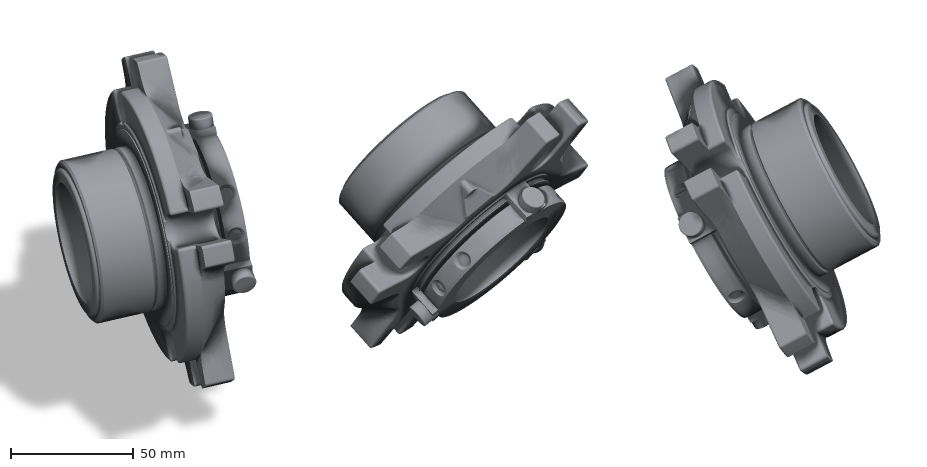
import cadquery as cq
import math


overall_length = 65.4

bore_radius = 25.4
sleeve_radius = 34.3
sleeve_chamfer = 1.0
nose_radius = 31.3
nose_length = 1.5
nose_round = 1.4
groove_start = 24.0
groove_width = 1.8
groove_depth = 0.89
neck_radius = 27.0

ring_face_y = 29.4
ring_radius = 41.3
step_face_y = 29.8
step_radius = 44.2
step_chamfer = 0.6
disc_face_y = 30.5
disc_radius = 57.7
disc_round = 1.1
slot_corner_round = 1.2
ear_face_y = 38.3
gland_back_y = 51.1
back_cone_angle = 45
gland_edge_round = 0.8

ear_count = 4
ear_angles = [45 + index * 360 / ear_count for index in range(ear_count)]
ear_tip_radius = 69.7
ear_tip_half_width = 16.1
ear_taper = 7.5
ear_root_fillet = 6.9
ear_corner_round = 1.2
ear_root_reach = 35.5
slot_half_width = 7.0
slot_bottom_radius = 42.8

shoulder_radius = 37.0
shoulder_end_y = 51.8
waist_radius = 35.0
waist_end_y = 53.1
lip_radius = 35.7
lip_taper_end_y = 53.7
lip_end_y = 53.9

collar_radius = 35.0
collar_start_y = 55.7
collar_end_y = 64.9
collar_chamfer_length = 1.3
collar_chamfer_depth = 0.2

clip_angles = (0, 120, 240)
clip_inner_radius = 34.6
clip_outer_radius = 37.6
clip_width = 11.9
cap_radius = 10.0 / 2
screw_y = overall_length - cap_radius
cap_end_radius = 42.2
cap_round = 0.5

socket_angles = (60, 180, 300)
slotted_angles = (30, 210)
set_screw_radius = 2.5
set_screw_depth = 1.5
countersink_radius = 3.8
driver_slot_width = 0.8
driver_slot_depth = 0.6

plug_diameter = 11.2
plug_y = 45.3
plug_height = 0.1
plug_embed = 3.5

ridge_top_z = 56.3
ridge_radius = 3.4 / 2
ridge_flank_angle = 32
ridge_step_y = 45.6
ridge_step_height = 4.4
ridge_base_z = 37.8
ridge_base_fillet = 0.6
on_surface_tolerance = 0.01


def around(solid, angle):
    """Turn a solid built on the +X side to the given angle about Y, +Z being 90 degrees."""
    return solid.rotate((0, 0, 0), (0, 1, 0), -angle)


def disc(radius, start_y, end_y):
    """A plain cylinder on the Y axis."""
    return cq.Workplane("XZ", origin=(0, start_y, 0)).circle(radius).extrude(start_y - end_y)


def revolve_profile(points):
    """Revolve (radius, y) points about the Y axis."""
    return cq.Workplane("XY").polyline(points).close().revolve(360, (0, 0, 0), (0, 1, 0))


def make_sleeve():
    groove_end = groove_start + groove_width
    flank = groove_width / 3
    body = revolve_profile([
        (0, nose_length),
        (sleeve_radius - sleeve_chamfer, nose_length),
        (sleeve_radius, nose_length + sleeve_chamfer),
        (sleeve_radius, groove_start),
        (sleeve_radius - groove_depth, groove_start + flank),
        (sleeve_radius - groove_depth, groove_end - flank),
        (sleeve_radius, groove_end),
        (sleeve_radius, disc_face_y),
        (neck_radius, disc_face_y),
        (neck_radius, collar_end_y),
        (0, collar_end_y),
    ])
    nose = disc(nose_radius, 0, nose_length).faces("<Y").edges().fillet(nose_round)
    return body.union(nose)


def make_ear():
    """Blank for one pair of ears, pointing along +X and still without its slot."""
    tip_x = math.sqrt(ear_tip_radius**2 - ear_tip_half_width**2)
    root_half_width = ear_tip_half_width + (tip_x - ear_root_reach) * math.tan(math.radians(ear_taper))
    return (
        cq.Workplane("XZ", origin=(0, ear_face_y, 0))
        .moveTo(ear_root_reach, -root_half_width)
        .lineTo(tip_x, -ear_tip_half_width)
        .threePointArc((ear_tip_radius, 0), (tip_x, ear_tip_half_width))
        .lineTo(ear_root_reach, root_half_width)
        .close()
        .extrude(ear_face_y - gland_back_y)
    )


def make_slot():
    """Bolt slot through the gland along +X, round at its bottom."""
    center_x = slot_bottom_radius + slot_half_width
    length = ear_tip_radius + slot_half_width - center_x
    slot = disc(slot_half_width, 0, collar_start_y).translate((center_x, 0, 0))
    channel = cq.Workplane("XY").box(
        length, collar_start_y, 2 * slot_half_width, centered=(False, False, True)
    )
    return slot.union(channel.translate((center_x, 0, 0)))


def cut_slots(solid):
    for angle in ear_angles:
        solid = solid.cut(around(make_slot(), angle))
    return solid


def distance_from_axis(edge):
    middle = edge.Center()
    return math.hypot(middle.x, middle.z)


def round_outer_corners(solid, outer_radius, corner_round):
    """Round the edges parallel to Y where slots or ears meet the given outer radius."""
    limit = outer_radius - 2 * corner_round
    corners = solid.edges("|Y").filter(lambda edge: distance_from_axis(edge) > limit)
    return corners.fillet(corner_round)


def back_cone_radius_at(y):
    return disc_radius - (y - ear_face_y) * math.tan(math.radians(back_cone_angle))


def make_ridge():
    """Round-topped ridge along Y with flared flanks, stepping down and then sloping to the back."""
    flank = math.radians(ridge_flank_angle)
    tangent_x = ridge_radius * math.cos(flank)
    tangent_z = ridge_top_z - ridge_radius * (1 - math.sin(flank))
    base_x = tangent_x + (tangent_z - ridge_base_z) * math.tan(flank)
    bar = (
        cq.Workplane("XZ", origin=(0, ear_face_y, 0))
        .moveTo(-base_x, ridge_base_z)
        .lineTo(-tangent_x, tangent_z)
        .threePointArc((0, ridge_top_z), (tangent_x, tangent_z))
        .lineTo(base_x, ridge_base_z)
        .close()
        .extrude(ear_face_y - gland_back_y)
    )
    slope_start_z = ridge_top_z - ridge_step_height
    slope_drop = (gland_back_y - ridge_step_y) * math.tan(math.radians(back_cone_angle))
    above_slope = (
        cq.Workplane("YZ")
        .moveTo(ridge_step_y, slope_start_z)
        .lineTo(ridge_step_y, ridge_top_z)
        .lineTo(gland_back_y, ridge_top_z)
        .lineTo(gland_back_y, slope_start_z - slope_drop)
        .close()
        .extrude(base_x, both=True)
    )
    return bar.cut(above_slope)


def is_ridge_base(edge):
    """True for the edges where the ridge flanks and tip run into the back cone."""
    middle = edge.positionAt(0.5)
    gap = abs(math.hypot(middle.x, middle.z) - back_cone_radius_at(middle.y))
    near_ridge = middle.z > 0 and abs(middle.x) < ridge_top_z - back_cone_radius_at(gland_back_y)
    return gap < on_surface_tolerance and near_ridge and ear_face_y < middle.y < gland_back_y


def make_gland_back():
    """Cone with the ears blended into it."""
    cone = revolve_profile([
        (0, ear_face_y),
        (disc_radius, ear_face_y),
        (back_cone_radius_at(gland_back_y), gland_back_y),
        (0, gland_back_y),
    ])
    for angle in ear_angles:
        cone = cone.union(around(make_ear(), angle))

    roots = cq.selectors.BoxSelector(
        (-disc_radius, ear_face_y + gland_edge_round, -disc_radius),
        (disc_radius, gland_back_y - gland_edge_round, disc_radius),
    )
    cone = cone.edges(roots).fillet(ear_root_fillet)
    cone = cut_slots(cone)
    cone = round_outer_corners(cone, ear_tip_radius, ear_corner_round)
    cone = cone.union(make_ridge()).edges().filter(is_ridge_base).fillet(ridge_base_fillet)
    return cone.faces(">Y").edges().fillet(gland_edge_round)


def make_gland_front():
    """Disc with rounded front edges and the two raised rings on it."""
    front = cut_slots(disc(disc_radius, disc_face_y, ear_face_y))
    front = round_outer_corners(front, disc_radius, slot_corner_round)
    front = front.faces("<Y").edges().fillet(disc_round)
    step = disc(step_radius, step_face_y, ear_face_y).faces("<Y").edges().chamfer(step_chamfer)
    return front.union(cut_slots(step)).union(disc(ring_radius, ring_face_y, ear_face_y))


def make_back_rings():
    return revolve_profile([
        (0, gland_back_y),
        (shoulder_radius, gland_back_y),
        (shoulder_radius, shoulder_end_y),
        (waist_radius, shoulder_end_y),
        (waist_radius, waist_end_y),
        (lip_radius, lip_taper_end_y),
        (lip_radius, lip_end_y),
        (0, lip_end_y),
    ])


def make_collar():
    edge_radius = collar_radius - collar_chamfer_depth
    collar = revolve_profile([
        (0, collar_start_y),
        (edge_radius, collar_start_y),
        (collar_radius, collar_start_y + collar_chamfer_length),
        (collar_radius, collar_end_y - collar_chamfer_length),
        (edge_radius, collar_end_y),
        (0, collar_end_y),
    ])
    for angle in socket_angles + slotted_angles:
        collar = collar.cut(around(make_set_screw_recess(angle in slotted_angles), angle))
    return collar


def make_set_screw_recess(slotted):
    """Countersunk recess on the +X side, with a driver slot in its floor when asked for."""
    floor_x = collar_radius - set_screw_depth
    recess = (
        cq.Workplane("YZ", origin=(floor_x, screw_y, 0))
        .circle(set_screw_radius)
        .workplane(offset=set_screw_depth)
        .circle(countersink_radius)
        .loft()
    )
    if slotted:
        driver_slot = cq.Workplane("XY").box(
            2 * driver_slot_depth, 2 * set_screw_radius, driver_slot_width
        )
        recess = recess.union(driver_slot.translate((floor_x, screw_y, 0)))
    return recess


def make_clip():
    """Clip plate reaching from the shoulder over the collar, with its cap screw."""
    plate = cq.Workplane("XY").box(
        clip_outer_radius - clip_inner_radius,
        collar_end_y - shoulder_end_y,
        clip_width,
        centered=(False, False, True),
    ).translate((clip_inner_radius, shoulder_end_y, 0))
    cap = (
        cq.Workplane("YZ", origin=(clip_inner_radius, screw_y, 0))
        .circle(cap_radius)
        .extrude(cap_end_radius - clip_inner_radius)
        .faces(">X").edges().fillet(cap_round)
    )
    return plate.union(cap)


def make_plug():
    """Flat plug square to the back cone, just proud of it."""
    surface_radius = back_cone_radius_at(plug_y)
    outward = cq.Vector(
        -math.cos(math.radians(back_cone_angle)), math.sin(math.radians(back_cone_angle)), 0
    )
    face = cq.Vector(-surface_radius, plug_y, 0) + outward * plug_height
    return cq.Workplane(cq.Plane(origin=face, xDir=(0, 0, 1), normal=outward)).circle(
        plug_diameter / 2
    ).extrude(-plug_embed)


gland = make_gland_back().union(make_gland_front()).union(make_plug())
result = gland.union(make_back_rings()).union(make_sleeve()).union(make_collar())
for clip_angle in clip_angles:
    result = result.union(around(make_clip(), clip_angle))
result = result.cut(disc(bore_radius, 0, collar_end_y))